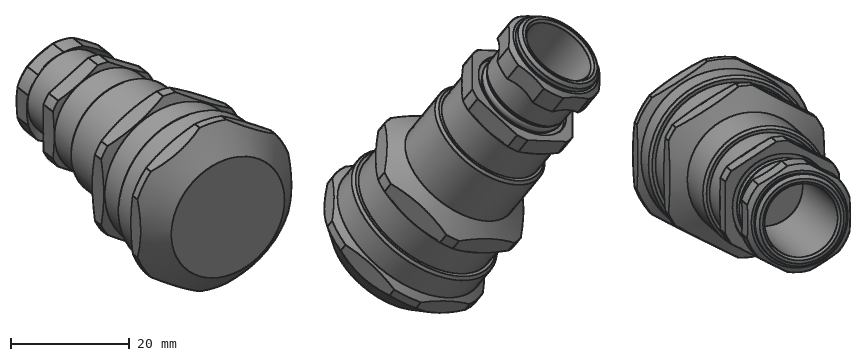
import cadquery as cq
import math

LENGTH = 54.6
HEX_SLOPE = math.tan(math.radians(60))

THREAD_RADIUS = 16.0 / 2
THREAD_TIP_RADIUS = 14.8 / 2
THREAD_CHAMFER = 0.6
THREAD_END = 10.4
THREAD_RUNOUT = 0.6
RUNOUT_RADIUS = 7.65
BORE_RADIUS = 12.8 / 2
BORE_MOUTH_RADIUS = 6.8
BORE_MOUTH_DEPTH = BORE_MOUTH_RADIUS - BORE_RADIUS

RING_SECTION_RADIUS = 0.8
RING_CREST_RADIUS = THREAD_RADIUS
RING_STATION = 11.75
RECESS_RADIUS = 8.75
RECESS_DEPTH = RING_SECTION_RADIUS

LOCK_FLATS = 17.95
LOCK_CORNER_RADIUS = 18.9 / 2
LOCK_FRONT = 1.35
LOCK_FRONT_RADIUS = 8.45
LOCK_CHAMFER_END = 2.0
LOCK_REAR = 5.55
LOCK_DISH_DEPTH = 1.85

NECK_RADIUS = 19.8 / 2
ENTRY_FLATS = 19.95
ENTRY_CORNER_RADIUS = 21.9 / 2
ENTRY_FRONT = 11.9
ENTRY_CHAMFER_START = 14.9
ENTRY_REAR = 15.35

BODY_RADIUS = 21.9 / 2
BODY_TIP_RADIUS = 20.9 / 2
BODY_FRONT = 21.75
BODY_CHAMFER = 0.5
BODY_REAR = 31.7
BORE_DEPTH = BODY_FRONT

BODY_HEX_FLATS = 27.15
BODY_HEX_CORNER_RADIUS = 30.0 / 2
BODY_HEX_LAND = 2.0

SLEEVE_RADIUS = 26.8 / 2
COLLAR_RADIUS = 29.0 / 2
COLLAR_FRONT = 42.5
COLLAR_CHAMFER = 0.5
COLLAR_REAR = 47.45

BACK_FLATS = 30.0
BACK_CORNER_RADIUS = 32.0 / 2
BACK_LAND = 1.55

OVERLAP = 0.55


def turned(points):
    """Solid of revolution about X under a list of (station, radius) points."""
    first_station = points[0][0]
    last_station = points[-1][0]
    outline = [(first_station, 0)] + points + [(last_station, 0)]
    return cq.Workplane("XY").polyline(outline).close().revolve(360, (0, 0, 0), (1, 0, 0))


def hexagonal(points, across_flats):
    """Turned solid trimmed to a hexagon with flats on +Y and -Y and corners on +Z and -Z."""
    start = points[0][0]
    end = max(station for station, radius in points)
    prism = (
        cq.Workplane("YZ", origin=(start, 0, 0))
        .polygon(6, across_flats, circumscribed=True)
        .extrude(end - start)
    )
    return turned(points).intersect(prism)


def spigot():
    """Thread envelope with a tip chamfer and a run-out down to the ring seat."""
    runout_end = THREAD_END + THREAD_RUNOUT
    return turned([
        (0, THREAD_TIP_RADIUS),
        (THREAD_CHAMFER, THREAD_RADIUS),
        (THREAD_END, THREAD_RADIUS),
        (runout_end, RUNOUT_RADIUS),
        (ENTRY_FRONT + RECESS_DEPTH + OVERLAP, RUNOUT_RADIUS),
    ])


def sealing_ring():
    """Round-section ring whose crest is level with the thread."""
    ring_radius = RING_CREST_RADIUS - RING_SECTION_RADIUS
    return cq.Workplane(cq.Solid.makeTorus(
        ring_radius, RING_SECTION_RADIUS, cq.Vector(RING_STATION, 0, 0), cq.Vector(1, 0, 0)
    ))


def ring_recess():
    return turned([
        (ENTRY_FRONT, RECESS_RADIUS),
        (ENTRY_FRONT + RECESS_DEPTH, RECESS_RADIUS),
    ])


def lock_nut():
    """Chamfered hexagon whose rear face is a hollow cone running down to the thread."""
    return hexagonal([
        (LOCK_FRONT, LOCK_FRONT_RADIUS),
        (LOCK_CHAMFER_END, LOCK_CORNER_RADIUS),
        (LOCK_REAR, LOCK_CORNER_RADIUS),
        (LOCK_REAR - LOCK_DISH_DEPTH, THREAD_RADIUS),
    ], LOCK_FLATS)


def entry_hexagon():
    return hexagonal([
        (ENTRY_FRONT, ENTRY_CORNER_RADIUS),
        (ENTRY_CHAMFER_START, ENTRY_CORNER_RADIUS),
        (ENTRY_REAR, NECK_RADIUS),
    ], ENTRY_FLATS)


def neck_and_body():
    return turned([
        (ENTRY_REAR - OVERLAP, NECK_RADIUS),
        (BODY_FRONT, NECK_RADIUS),
        (BODY_FRONT, BODY_TIP_RADIUS),
        (BODY_FRONT + BODY_CHAMFER, BODY_RADIUS),
        (BODY_REAR + OVERLAP, BODY_RADIUS),
    ])


def body_hexagon():
    land_start = BODY_REAR + (BODY_HEX_CORNER_RADIUS - BODY_RADIUS) / HEX_SLOPE
    land_end = land_start + BODY_HEX_LAND
    rear = land_end + (BODY_HEX_CORNER_RADIUS - SLEEVE_RADIUS) / HEX_SLOPE
    return hexagonal([
        (BODY_REAR, BODY_RADIUS),
        (land_start, BODY_HEX_CORNER_RADIUS),
        (land_end, BODY_HEX_CORNER_RADIUS),
        (rear, SLEEVE_RADIUS),
    ], BODY_HEX_FLATS)


def sleeve_and_collar():
    hidden_start = BODY_REAR + BODY_HEX_LAND
    return turned([
        (hidden_start, SLEEVE_RADIUS),
        (COLLAR_FRONT, SLEEVE_RADIUS),
        (COLLAR_FRONT, COLLAR_RADIUS - COLLAR_CHAMFER),
        (COLLAR_FRONT + COLLAR_CHAMFER, COLLAR_RADIUS),
        (COLLAR_REAR + OVERLAP, COLLAR_RADIUS),
    ])


def back_nut():
    land_start = COLLAR_REAR + (BACK_CORNER_RADIUS - COLLAR_RADIUS) / HEX_SLOPE
    land_end = land_start + BACK_LAND
    end_radius = BACK_CORNER_RADIUS - (LENGTH - land_end)
    return hexagonal([
        (COLLAR_REAR, COLLAR_RADIUS),
        (land_start, BACK_CORNER_RADIUS),
        (land_end, BACK_CORNER_RADIUS),
        (LENGTH, end_radius),
    ], BACK_FLATS)


def bore():
    return turned([
        (0, BORE_MOUTH_RADIUS),
        (BORE_MOUTH_DEPTH, BORE_RADIUS),
        (BORE_DEPTH, BORE_RADIUS),
    ])


result = (
    entry_hexagon()
    .cut(ring_recess())
    .union(spigot())
    .union(sealing_ring())
    .union(lock_nut())
    .union(neck_and_body())
    .union(body_hexagon())
    .union(sleeve_and_collar())
    .union(back_nut())
    .cut(bore())
)